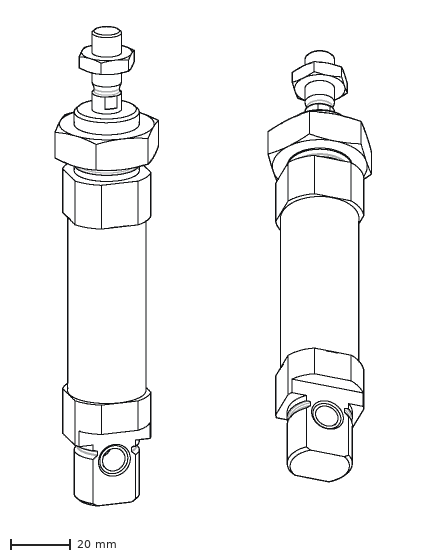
import cadquery as cq
import math

TOTAL_LENGTH = 166.5

BARREL_DIA = 26.5
CAP_DIA = 30.0
CAP_FLATS = 27.0
FRONT_CAP_TOP = 116.5
FRONT_CAP_BOTTOM = 100.9
REAR_CAP_TOP = 38.0
REAR_CAP_BOTTOM = 22.0

NECK_DIA = 22.0
UNDERCUT_DIA = 20.0
NECK_CHAMFER = 1.0
NECK_TOP = 138.5
COLLAR_HEIGHT = 2.2
UNDERCUT_LENGTH = 1.7
NECK_RUNOUT_LENGTH = 1.3

GROOVE_FILLET = 0.5
EDGE_REACH = 0.08

TONGUE_THICKNESS = 16.0
TONGUE_TOP = 27.5
PIVOT_DIA = 8.0
PIVOT_HEIGHT = 15.7
PIVOT_RECESS_DIA = 10.0
PIVOT_RECESS_DEPTH = 0.7

ROD_DIA = 10.0
ROD_GROOVE_DIA = 8.7
ROD_TIP_CHAMFER = 0.7
ROD_THREAD_LENGTH = 22.0
ROD_GROOVE_LENGTH = 1.7
ROD_RUNOUT_LENGTH = 2.0
ROD_FLATS = 9.0
ROD_FLATS_BOTTOM = 140.2

MOUNTING_NUT_FLATS = 32.0
MOUNTING_NUT_HEIGHT = 11.0
MOUNTING_NUT_BOTTOM = 122.2
LOCK_NUT_FLATS = 17.0
LOCK_NUT_HEIGHT = 5.0
LOCK_NUT_BOTTOM = 153.8
NUT_CHAMFER_ANGLE = 20.0
HEX_SIDES = 6
HEX_HALF_ANGLE = 180 / HEX_SIDES


def cylinder(diameter, bottom, top):
    """Upright cylinder between two heights."""
    return cq.Workplane("XY").workplane(offset=bottom).circle(diameter / 2).extrude(top - bottom)


def revolved(profile):
    """Solid of revolution about Z from (radius, height) points."""
    return cq.Workplane("XZ").polyline(profile).close().revolve(360, (0, 0), (0, 1))


def round_groove(body, floor_dia, *ends):
    """Fillet both ends of a groove floor on a revolved body, given their heights."""
    for height in ends:
        edge = cq.selectors.BoxSelector(
            (-floor_dia, -floor_dia, height - EDGE_REACH),
            (floor_dia, floor_dia, height + EDGE_REACH),
        )
        circles = body.edges("%CIRCLE").edges(edge)
        body = circles.edges(cq.selectors.RadiusNthSelector(0)).fillet(GROOVE_FILLET)
    return body


def cap(bottom, top):
    """Round end cap with four wrench flats."""
    square = cq.Workplane("XY").workplane(offset=bottom).rect(CAP_FLATS, CAP_FLATS).extrude(top - bottom)
    return cylinder(CAP_DIA, bottom, top).intersect(square)


def neck(cap_face, end, direction):
    """Collar, relief groove and thread of one neck, leaving the cap along +Z (1) or -Z (-1)."""
    outer = NECK_DIA / 2
    inner = UNDERCUT_DIA / 2
    groove_start = cap_face + direction * COLLAR_HEIGHT
    groove_end = groove_start + direction * UNDERCUT_LENGTH
    body = revolved([
        (0, cap_face),
        (outer, cap_face),
        (outer, groove_start),
        (inner, groove_start),
        (inner, groove_end),
        (outer, groove_end + direction * NECK_RUNOUT_LENGTH),
        (outer, end - direction * NECK_CHAMFER),
        (outer - NECK_CHAMFER, end),
        (0, end),
    ])
    return round_groove(body, UNDERCUT_DIA, groove_start, groove_end)


def tongue_cuts():
    """Two blocks that leave a flat tongue at the rear end."""
    depth = CAP_DIA / 2
    blocks = cq.Workplane("XY")
    for side in (-1, 1):
        block = cq.Workplane("XY").box(depth, CAP_DIA, TONGUE_TOP, centered=(True, True, False))
        blocks = blocks.add(block.translate((side * (TONGUE_THICKNESS + depth) / 2, 0, 0)))
    return blocks.combine()


def pivot_cut():
    """Pivot hole along X with a shallow tapered recess at each face of the tongue."""
    half = TONGUE_THICKNESS / 2
    radius = PIVOT_DIA / 2
    recess = PIVOT_RECESS_DIA / 2
    floor = half - PIVOT_RECESS_DEPTH
    mouth = recess + PIVOT_RECESS_DEPTH
    profile = [
        (-half, 0),
        (-half, mouth),
        (-floor, recess),
        (-floor, radius),
        (floor, radius),
        (floor, recess),
        (half, mouth),
        (half, 0),
    ]
    hole = cq.Workplane("XZ").polyline(profile).close().revolve(360, (0, 0), (1, 0))
    return hole.translate((0, 0, PIVOT_HEIGHT))


def make_housing():
    """Barrel, end caps and necks, with the rear end cut to a tongue."""
    body = cylinder(BARREL_DIA, REAR_CAP_TOP, FRONT_CAP_BOTTOM)
    body = body.union(cap(FRONT_CAP_BOTTOM, FRONT_CAP_TOP))
    body = body.union(cap(REAR_CAP_BOTTOM, REAR_CAP_TOP))
    body = body.union(neck(FRONT_CAP_TOP, NECK_TOP, 1))
    body = body.union(neck(REAR_CAP_BOTTOM, 0, -1))
    return body.cut(tongue_cuts()).cut(pivot_cut())


def make_rod():
    """Rod standing on the front neck, with a threaded tip, a relief groove and two wrench flats."""
    outer = ROD_DIA / 2
    inner = ROD_GROOVE_DIA / 2
    shoulder = TOTAL_LENGTH - ROD_THREAD_LENGTH
    groove_top = shoulder + ROD_GROOVE_LENGTH
    rod = revolved([
        (0, NECK_TOP),
        (outer, NECK_TOP),
        (outer, shoulder),
        (inner, shoulder),
        (inner, groove_top),
        (outer, groove_top + ROD_RUNOUT_LENGTH),
        (outer, TOTAL_LENGTH - ROD_TIP_CHAMFER),
        (outer - ROD_TIP_CHAMFER, TOTAL_LENGTH),
        (0, TOTAL_LENGTH),
    ])
    rod = round_groove(rod, ROD_GROOVE_DIA, shoulder, groove_top)
    flats_height = shoulder - ROD_FLATS_BOTTOM
    for side in (-1, 1):
        flat = cq.Workplane("XY").box(ROD_DIA, ROD_DIA, flats_height, centered=(True, True, False))
        rod = rod.cut(flat.translate((side * (ROD_FLATS + ROD_DIA) / 2, 0, ROD_FLATS_BOTTOM)))
    return rod


def make_nut(across_flats, height, bottom, bore):
    """Hex nut with two corners toward +Y and -Y, its corners chamfered at both ends."""
    across_corners = across_flats / math.cos(math.radians(HEX_HALF_ANGLE))
    face_radius = across_flats / 2
    corner_radius = across_corners / 2
    drop = (corner_radius - face_radius) * math.tan(math.radians(NUT_CHAMFER_ANGLE))
    hexagon = cq.Workplane("XY").polygon(HEX_SIDES, across_corners).extrude(height)
    hexagon = hexagon.rotate((0, 0, 0), (0, 0, 1), HEX_HALF_ANGLE)
    envelope = revolved([
        (0, 0),
        (face_radius, 0),
        (corner_radius, drop),
        (corner_radius, height - drop),
        (face_radius, height),
        (0, height),
    ])
    return hexagon.intersect(envelope).cut(cylinder(bore, 0, height)).translate((0, 0, bottom))


housing = make_housing()
piston_rod = make_rod()
mounting_nut = make_nut(MOUNTING_NUT_FLATS, MOUNTING_NUT_HEIGHT, MOUNTING_NUT_BOTTOM, NECK_DIA)
lock_nut = make_nut(LOCK_NUT_FLATS, LOCK_NUT_HEIGHT, LOCK_NUT_BOTTOM, ROD_DIA)

result = cq.Compound.makeCompound([
    housing.val(),
    piston_rod.val(),
    mounting_nut.val(),
    lock_nut.val(),
])